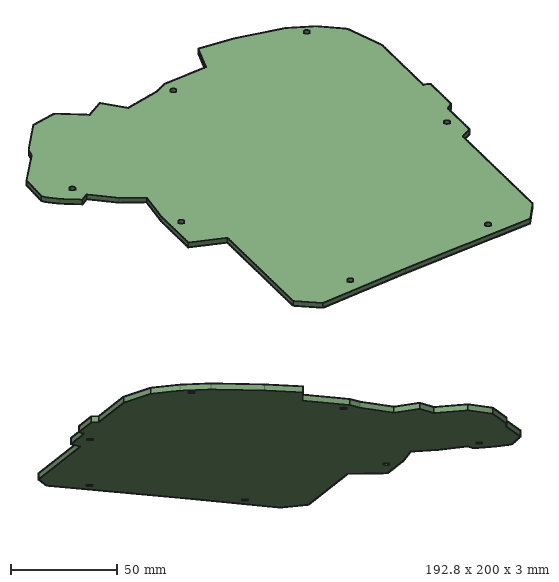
import cadquery as cq

length_x = 192.8
length_y = 200.0
thickness = 3.0
hole_diameter = 3.0

shoulder_y = 196.8
right_top_y = 191.2
right_bottom_y = 56.4
chamfer_x = 183.8
foot_y = 39.0
left_wall_x = 13.5
right_edge_dip = 0.5

left_side = [
    (0, 122.5),
    (left_wall_x, 118.2),
    (left_wall_x, 94.8),
    (16.4, 88.5),
    (19.4, 70.5),
    (9.0, 61.4),
    (13.8, 52.5),
]
lower_lobe = [
    (4.0, foot_y),
    (5.8, 26.0),
    (20.2, 14.0),
    (24.4, 13.0),
    (39.0, 0.5),
    (52.8, 0),
    (54.5, 1.2),
    (59.4, 6.2),
    (65.5, 14.8),
    (63.4, 18.5),
    (73.8, 29.8),
]
middle_foot = [
    (80.8, 41.0),
    (96.5, foot_y),
    (120.0, foot_y),
    (127.0, right_bottom_y),
]
right_block = [
    (chamfer_x, right_bottom_y),
    (length_x, 67.4),
    (length_x - right_edge_dip, 114.0),
    (length_x, 184.0),
    (chamfer_x, right_top_y),
    (123.4, right_top_y),
]
top_tab = [
    (120.8, shoulder_y),
    (101.8, shoulder_y),
    (100.0, length_y),
    (81.8, length_y),
    (80.5, shoulder_y),
]
upper_left_shoulder = [
    (44.8, shoulder_y),
    (25.8, 189.8),
    (16.2, 178.5),
    (9.4, 165.5),
    (2.8, 141.2),
]
outline = left_side + lower_lobe + middle_foot + right_block + top_tab + upper_left_shoulder

hole_centers = [
    (110.4, 190.8),
    (17.4, 172.4),
    (185.5, 165.0),
    (20.0, 95.5),
    (185.4, 87.5),
    (105.0, 44.8),
    (56.0, 15.4),
]

plate = cq.Workplane("XY").polyline(outline).close().extrude(thickness)
holes = cq.Workplane("XY").pushPoints(hole_centers).circle(hole_diameter / 2).extrude(thickness)
result = plate.cut(holes)